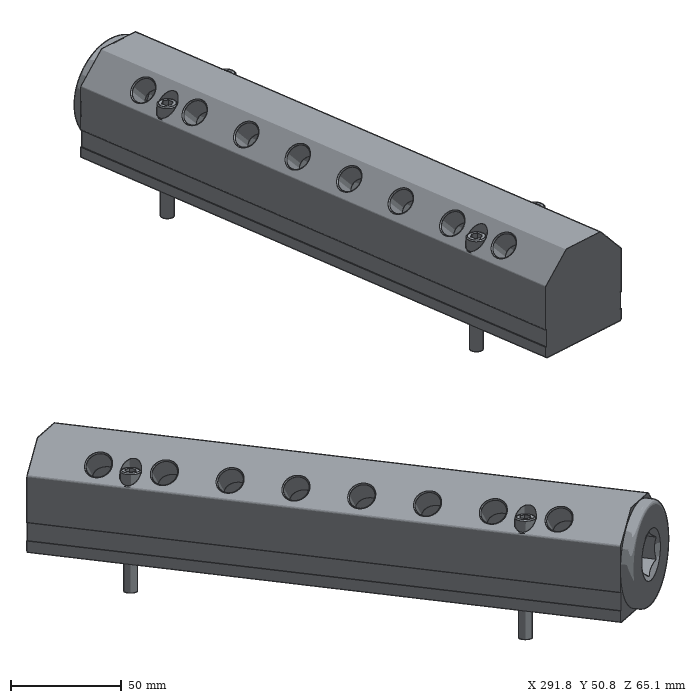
import cadquery as cq
import math

total_length = 291.8
flange_thickness = 5.5
section = 50.8
half_section = section / 2
top_chamfer = 14.0
edge_fillet = 1.5
housing_length = total_length - flange_thickness

recess_bottom = 5.8
recess_top = 14.5
recess_depth = 0.5

bore_diameter = 27.7
bore_end_wall = 5.8

port_count = 8
port_diameter = 12.0
port_chamfer = 0.5
entry_taper = 45
port_end_margin = 32.0
port_pitch = (housing_length - 2 * port_end_margin) / (port_count - 1)
first_port_x = flange_thickness + port_end_margin
port_face_distance = math.sqrt(2) * (half_section - top_chamfer / 2)

screw_y = 19.5
screw_x_near = first_port_x + port_pitch / 2
screw_x_far = first_port_x + (port_count - 1.5) * port_pitch
screw_places = [(x, y) for x in (screw_x_near, screw_x_far) for y in (-screw_y, screw_y)]
shank_diameter = 6.5
shank_protrusion = 14.3
head_diameter = 9.3
head_height = 6.5
head_chamfer = 0.5
head_top_z = 43.5 - half_section
socket_across_flats = 4.7
socket_depth = 3.2
counterbore_diameter = 10.0
head_seat_z = head_top_z - head_height
screw_bottom_z = -half_section - shank_protrusion

flange_diameter = 50.5
flange_fillet = 2.3
plug_length = 12.3
drive_across_flats = 18.5
drive_countersink_diameter = 24.5
drive_countersink_depth = 1.8

half_corner_angle = 30


def hexagon_diameter(across_flats):
    """Corner-to-corner size of a hexagon."""
    return across_flats / math.cos(math.radians(half_corner_angle))


def x_cylinder(diameter, x_start, x_end):
    """Cylinder along the X axis."""
    return cq.Workplane("YZ", origin=(x_start, 0, 0)).circle(diameter / 2).extrude(x_end - x_start)


def z_cylinder(diameter, x, y, z_start, z_end):
    """Vertical cylinder."""
    return cq.Workplane("XY", origin=(x, y, z_start)).circle(diameter / 2).extrude(z_end - z_start)


def make_port(x, side):
    """Cutter for one port: from the chamfered face to the bore axis, with a small entry chamfer."""
    entry_radius = port_diameter / 2 + port_chamfer
    face_plane = cq.Plane(origin=(x, 0, 0), xDir=(1, 0, 0), normal=(0, side, 1))
    drill = cq.Workplane(face_plane).circle(port_diameter / 2).extrude(port_face_distance)
    entry = (
        cq.Workplane(face_plane)
        .workplane(offset=port_face_distance)
        .circle(entry_radius)
        .extrude(-entry_radius, taper=entry_taper)
    )
    return drill.union(entry)


def make_recess(side):
    """Cutter for the full-length recess in one side face."""
    cutter = cq.Workplane("XY").box(
        housing_length, 2 * recess_depth, recess_top - recess_bottom, centered=(False, True, False)
    )
    return cutter.translate((flange_thickness, side * half_section, recess_bottom - half_section))


def make_housing():
    """Bar with recesses, bore, two rows of ports and counterbored screw holes."""
    bar = (
        cq.Workplane("XY")
        .box(housing_length, section, section, centered=(False, True, True))
        .translate((flange_thickness, 0, 0))
        .edges("|X and >Z")
        .chamfer(top_chamfer)
        .edges("|X")
        .fillet(edge_fillet)
    )
    for side in (-1, 1):
        bar = bar.cut(make_recess(side))
    bar = bar.cut(x_cylinder(bore_diameter, flange_thickness, total_length - bore_end_wall))
    for side in (-1, 1):
        for index in range(port_count):
            bar = bar.cut(make_port(first_port_x + index * port_pitch, side))
    for x, y in screw_places:
        bar = bar.cut(z_cylinder(shank_diameter, x, y, -half_section, half_section))
        bar = bar.cut(z_cylinder(counterbore_diameter, x, y, head_seat_z, half_section))
    return bar


def make_plug():
    """Round flange with a spigot in the bore and a hexagonal drive hole right through."""
    flange = x_cylinder(flange_diameter, 0, flange_thickness).edges("<X").fillet(flange_fillet)
    spigot = x_cylinder(bore_diameter, flange_thickness, plug_length)
    drive = (
        cq.Workplane("YZ")
        .polygon(6, hexagon_diameter(drive_across_flats))
        .extrude(plug_length)
        .rotate((0, 0, 0), (1, 0, 0), half_corner_angle)
    )
    countersink = cq.Workplane(
        cq.Solid.makeCone(
            drive_countersink_diameter / 2,
            drive_across_flats / 2,
            drive_countersink_depth,
            dir=cq.Vector(1, 0, 0),
        )
    )
    return flange.union(spigot).cut(drive).cut(countersink)


def make_screw(x, y):
    """Socket head cap screw standing upright, with its head seated in the counterbore."""
    head = z_cylinder(head_diameter, x, y, head_seat_z, head_top_z).edges(">Z").chamfer(head_chamfer)
    shank = z_cylinder(shank_diameter, x, y, screw_bottom_z, head_seat_z)
    socket = (
        cq.Workplane("XY", origin=(x, y, head_top_z))
        .polygon(6, hexagon_diameter(socket_across_flats))
        .extrude(-socket_depth)
    )
    return head.union(shank).cut(socket)


housing = make_housing()
plug = make_plug()
screws = [make_screw(x, y) for x, y in screw_places]

result = cq.Compound.makeCompound([housing.val(), plug.val(), *[screw.val() for screw in screws]])